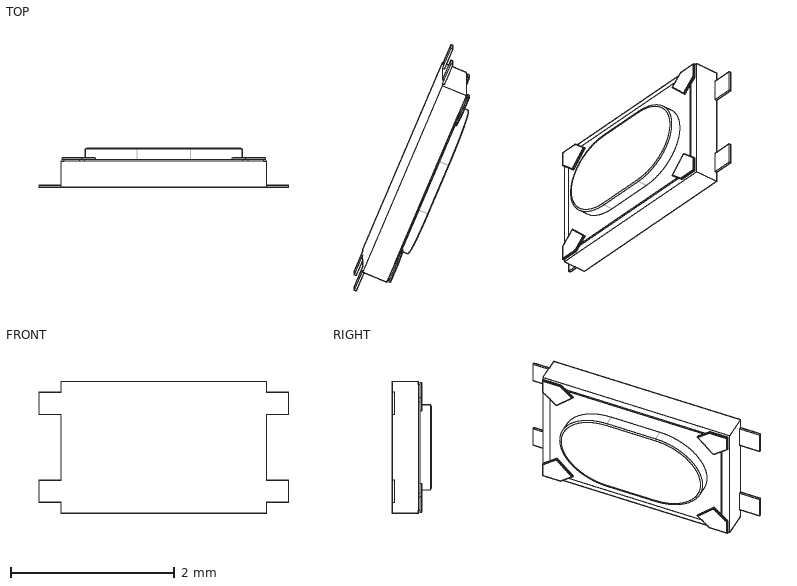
import cadquery as cq
import math

overall_length = 3.06
overall_depth = 0.48

body_length = 2.52
body_height = 1.62
body_depth = 0.32

terminal_thickness = 0.028
terminal_width = 0.275
terminal_spacing = 1.077

strip_slope = math.tan(math.radians(40))
strip_reach_x = 0.165
strip_reach_z = 0.16

sheet_thickness = 0.02
sheet_inset_x = 0.107
sheet_inset_z = 0.085
foot_inset = 0.037
foot_run_x = 0.193
foot_run_z = 0.155

tab_thickness = 0.025
tab_inset = 0.012
tab_run_x = 0.245
tab_run_z = 0.193
tab_chamfer = 0.0075

button_length = 1.928
button_height = 1.045
button_flat_length = 0.655
button_chamfer_depth = 0.01
button_chamfer_inset = 0.025

sheet_back = body_depth + sheet_thickness


def box_between(size_x, size_z, y_front, y_back):
    """Box centred in X and Z, spanning y_front to y_back."""
    depth = y_back - y_front
    return cq.Workplane("XY").box(size_x, depth, size_z).translate((0, y_front + depth / 2, 0))


def plate_plane(y):
    """Workplane facing +Y, with local x along -X and local y along +Z."""
    return cq.Workplane("XZ", origin=(0, y, 0)).transformed(rotate=(0, 180, 0))


def corner_strip(inset, run_x, run_z, y, thickness):
    """Strip running diagonally inward from one corner of the body."""
    edge_x = body_length / 2 - inset
    edge_z = body_height / 2 - inset
    inner_x = edge_x - run_x - strip_reach_x
    inner_z = edge_z - run_z - strip_reach_z
    outline = [
        (edge_x, edge_z),
        (edge_x - run_x, edge_z),
        (inner_x, edge_z - strip_reach_x * strip_slope),
        (edge_x - strip_reach_z / strip_slope, inner_z),
        (edge_x, edge_z - run_z),
    ]
    return plate_plane(y).polyline(outline).close().extrude(thickness)


def at_all_corners(strip):
    """The strip and its mirror images at the other three corners."""
    pair = strip.union(strip.mirror("YZ"))
    return pair.union(pair.mirror("XY"))


def make_terminals():
    bar = box_between(overall_length, terminal_width, 0, terminal_thickness)
    upper = bar.translate((0, 0, terminal_spacing / 2))
    lower = bar.translate((0, 0, -terminal_spacing / 2))
    return upper.union(lower)


def make_sheet():
    sheet = box_between(
        body_length - 2 * sheet_inset_x, body_height - 2 * sheet_inset_z, body_depth, sheet_back
    )
    foot = corner_strip(foot_inset, foot_run_x, foot_run_z, body_depth, sheet_thickness)
    return sheet.union(at_all_corners(foot))


def make_tabs():
    tab = corner_strip(tab_inset, tab_run_x, tab_run_z, sheet_back, tab_thickness)
    return at_all_corners(tab.faces(">Y").chamfer(tab_chamfer))


def make_button():
    """Flat top and bottom sides joined by half-ellipse ends."""
    half_flat = button_flat_length / 2
    end_radius = button_length / 2 - half_flat
    half_height = button_height / 2
    return (
        plate_plane(sheet_back)
        .moveTo(-half_flat, -half_height)
        .lineTo(half_flat, -half_height)
        .ellipseArc(end_radius, half_height, -90, 90, sense=1)
        .lineTo(-half_flat, half_height)
        .ellipseArc(end_radius, half_height, 90, 270, sense=1)
        .close()
        .extrude(overall_depth - sheet_back)
        .faces(">Y")
        .edges()
        .chamfer(button_chamfer_depth, button_chamfer_inset)
    )


body = box_between(body_length, body_height, 0, body_depth)
result = body.union(make_terminals()).union(make_sheet()).union(make_tabs()).union(make_button())